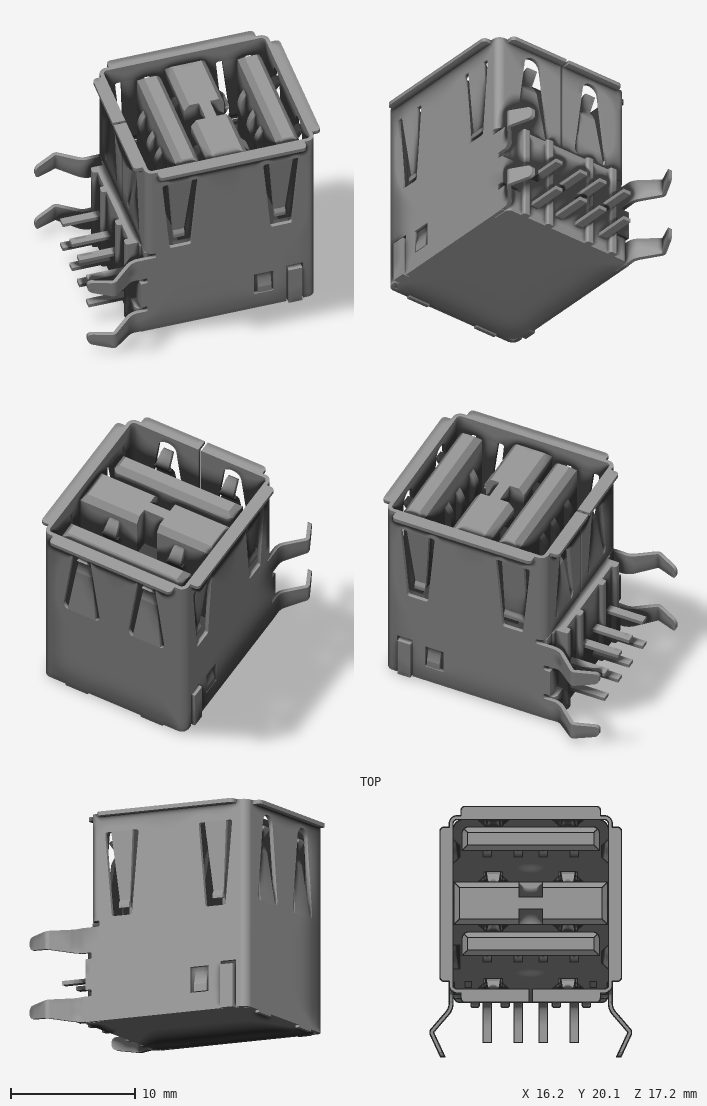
import cadquery as cq
import math


SHEET = 0.32
SHELL_X = 6.57
SHELL_Y = 7.13
SHELL_TOP = 17.0
SHELL_CORNER = 0.65
FRONT_WALL_BOTTOM = 8.22
SEAM_WIDTH = 0.26

FLANGE_CORNER = 0.35
FRONT_FLANGE_REACH = 7.87
FRONT_FLANGE_HALF = 5.62
SIDE_FLANGE_REACH = 7.31
SIDE_FLANGE_HALF = 6.2

FINGER_X = 3.0
FINGER_BOTTOM = 9.02
FINGER_BASE_HALF = 1.27
FINGER_SHOULDER, FINGER_SHOULDER_Z = 0.45, 13.37
FINGER_SHOULDER_HALF = 0.75
FINGER_STEP_Z = 14.02
FINGER_STEP_HALF = 0.62
FINGER_PEAK, FINGER_PEAK_Z = 0.89, 14.15
FINGER_TIP, FINGER_TIP_Z = 0.05, 15.19
FINGER_END_Z = 15.43
FINGER_TIP_HALF = 0.45
FINGER_TIP_CORNER = 0.38
FINGER_BEND_RADII = (0.1, 0.2)
PORT_WINDOW_TOP = 16.23
PORT_WINDOW_BASE_HALF, PORT_WINDOW_BASE_CORNER = 1.73, 0.48
PORT_WINDOW_TOP_HALF, PORT_WINDOW_TOP_CORNER = 0.75, 0.8

SIDE_FINGER_Y = 4.25
SIDE_FINGER_TOP = 15.39
SIDE_FINGER_HALF = 0.97
SIDE_FINGER_NARROW_HALF = 0.46
SIDE_FINGER_PEAK = 0.55
SIDE_FINGER_PEAK_Z = 9.83
SIDE_FINGER_CURL, SIDE_FINGER_CURL_Z = 0.35, 9.49
SIDE_FINGER_BOTTOM = 9.16
SIDE_FINGER_BEND_RADII = (0.05, 0.05)
SIDE_WINDOW_BOTTOM = 8.45
SIDE_WINDOW_BASE_HALF, SIDE_WINDOW_TOP_HALF, SIDE_WINDOW_CORNER = 0.9, 1.53, 0.2

LEG_CENTERS = (1.07, 6.7)
LEG_HALF = 1.03
LEG_BEND_Y = -8.35
LEG_KNEE_X = 8.2
LEG_KNEE_Y = -10.25
LEG_TIP_X = 7.1
LEG_TIP_Y = -12.27
LEG_TIP_HALF = 0.5
LEG_TIP_CORNER = 0.4
LEG_BEND_RADII = (1.09, 0.12)
PLATE_FRONT = -7.87
FLAP_BOTTOM, FLAP_TOP = 2.64, 5.15
FLAP_FRONT = -7.57
FLAP_INNER_X = 4.87
RELIEF_Y = -6.99
TOP_RELIEF_Y = -6.28
RELIEF_CORNER = 0.16

FLOOR = 8.14
CAVITY_X = SHELL_X - SHEET
CAVITY_Y = SHELL_Y - SHEET
HOUSING_BACK_CORNER = 0.8
HOUSING_FRONT = -7.9
CENTER_HALF = 4.81
LEDGE_HALF = 5.28
PILLAR_X = 6.16
PILLAR_TOP = 2.15
PILLAR_CORNER = 0.45
RIB_FRONT = -8.3
RIB_WIDTH = 0.68
RIB_CENTERS = (2.05, 4.47)
RIB_INNER_CORNER = 0.2
RIB_OUTER_CORNER = 0.16

TONGUE_X = 5.52
TONGUE_THICK = 1.9
TONGUE_CENTERS = (-3.18, 5.28)
TONGUE_TOP = 16.41
TOP_CHAMFER_HEIGHT = 0.55
TOP_CHAMFER_WIDTH = 0.45
TONGUE_CORNER = 0.52
DIVIDER_X = 6.16
DIVIDER_FRONT, DIVIDER_BACK = -1.61, 1.77
NOTCH_WIDTH = 1.85
NOTCH_DEPTH = 4.03
NOTCH_WEB_FRONT, NOTCH_WEB_BACK = -0.36, 0.56

KEY_REACH = 6.83
KEY_BACK, KEY_FRONT, KEY_TOP = 5.95, 4.8, 3.55
KEY_SLOT_BACK, KEY_SLOT_FRONT, KEY_SLOT_TOP = 6.1, 4.7, 3.87
LATCH_BACK, LATCH_FRONT = 3.42, 2.3
LATCH_BOTTOM, LATCH_RAMP, LATCH_TOP = 1.6, 2.18, 3.3
LATCH_SLOT_BACK, LATCH_SLOT_FRONT = 3.6, 1.95
LATCH_SLOT_BOTTOM, LATCH_SLOT_TOP = 1.51, 3.63

FOOT_X, FOOT_WIDTH, FOOT_HEIGHT = 3.46, 2.05, 0.18
HOLE_X, HOLE_Y, HOLE_SIZE, HOLE_DEPTH = 5.04, -6.45, 0.5, 0.6

PIN_XS = (-3.5, -1.0, 1.0, 3.5)
PIN_WIDTH = 0.7
PIN_THICK = 0.32
PIN_ROWS = (1.4, 4.03)
PIN_END = -11.14
CONTACT_REACH = 0.48
CONTACT_BOTTOM, CONTACT_MIDDLE, CONTACT_TOP = 11.08, 13.1, 14.1


def block(x0, x1, y0, y1, z0, z1):
    """Box between two opposite corners."""
    return cq.Workplane("XY").box(x1 - x0, y1 - y0, z1 - z0, centered=False).translate((x0, y0, z0))


def both_sides(solid):
    """The solid joined with its mirror image across X = 0."""
    return solid.union(solid.mirror("YZ"))


def bent_sheet(plane, path, inside_radii, thickness, half_width):
    """Bent strip lying to the right of an open path in the plane (left if thickness is negative).

    Every inner point of the path is a bend with its own inside radius.
    """
    right_normals = []
    for (x0, y0), (x1, y1) in zip(path, path[1:]):
        length = math.hypot(x1 - x0, y1 - y0)
        right_normals.append(((y1 - y0) / length, (x0 - x1) / length))
    before = [right_normals[0]] + right_normals
    after = right_normals + [right_normals[-1]]
    far_side = []
    for (x, y), (ax, ay), (bx, by) in zip(path, before, after):
        miter = thickness / (1 + ax * bx + ay * by)
        far_side.append((x + (ax + bx) * miter, y + (ay + by) * miter))
    sheet = cq.Workplane(plane).polyline(path + far_side[::-1]).close().extrude(half_width, both=True)

    for bend, radius in enumerate(inside_radii, start=1):
        (ax, ay), (bx, by) = before[bend], after[bend]
        turns_toward_far_side = (ax * by - ay * bx) * thickness < 0
        near_radius = radius + (abs(thickness) if turns_toward_far_side else 0)
        far_radius = radius + (0 if turns_toward_far_side else abs(thickness))
        for point, fillet in ((path[bend], near_radius), (far_side[bend], far_radius)):
            corner = cq.Plane.named(plane).toWorldCoords(point).toTuple()
            sheet = sheet.edges(cq.selectors.NearestToPointSelector(corner)).fillet(fillet)
    return sheet


def mirrored_outline(half_widths):
    """Closed outline symmetric about the vertical axis from (half width, height) pairs."""
    return half_widths + [(-half, height) for half, height in reversed(half_widths)]


def flange(half, start, reach):
    """Lip at the mouth, pointing toward +Y."""
    lip = block(-half, half, start, reach, SHELL_TOP - SHEET, SHELL_TOP)
    return lip.edges("|Z and >Y").fillet(FLANGE_CORNER)


def port_finger():
    """Tapered spring finger rising from the front wall; its outer face starts at Y = 0."""
    side = [(0, FINGER_BOTTOM), (FINGER_SHOULDER, FINGER_SHOULDER_Z),
            (FINGER_PEAK, FINGER_PEAK_Z), (FINGER_TIP, FINGER_TIP_Z)]
    bent = bent_sheet("YZ", side, FINGER_BEND_RADII, SHEET, FINGER_BASE_HALF)
    face = mirrored_outline([(FINGER_BASE_HALF, FINGER_BOTTOM),
                             (FINGER_SHOULDER_HALF, FINGER_SHOULDER_Z),
                             (FINGER_SHOULDER_HALF, FINGER_STEP_Z),
                             (FINGER_STEP_HALF, FINGER_STEP_Z),
                             (FINGER_TIP_HALF, FINGER_END_Z)])
    taper = cq.Workplane("XZ").polyline(face).close().extrude(-2 * FINGER_PEAK)
    taper = taper.edges("|Y and >Z").fillet(FINGER_TIP_CORNER)
    return bent.intersect(taper)


def port_fingers(finger, y, angle):
    """Two fingers on a face at the given Y; an angle of 180 turns them toward -Y."""
    turned = finger.rotate((0, 0, 0), (0, 0, 1), angle)
    return turned.translate((-FINGER_X, y, 0)).union(turned.translate((FINGER_X, y, 0)))


def port_window():
    """Cutter for the windows of one front finger and the back finger facing it."""
    face = mirrored_outline([(PORT_WINDOW_BASE_HALF, FINGER_BOTTOM),
                             (PORT_WINDOW_TOP_HALF, PORT_WINDOW_TOP)])
    cutter = cq.Workplane("XZ").polyline(face).close().extrude(SHELL_Y, both=True)
    cutter = cutter.edges("|Y and <Z").fillet(PORT_WINDOW_BASE_CORNER)
    return cutter.edges("|Y and >Z").fillet(PORT_WINDOW_TOP_CORNER)


def side_finger(tip_half):
    """Spring finger hanging from the top of a left-wall window; its outer face starts at X = 0."""
    side = [(0, SIDE_FINGER_TOP), (SIDE_FINGER_PEAK, SIDE_FINGER_PEAK_Z),
            (SIDE_FINGER_CURL, SIDE_FINGER_CURL_Z), (SIDE_FINGER_CURL, SIDE_FINGER_BOTTOM)]
    bent = bent_sheet("XZ", side, SIDE_FINGER_BEND_RADII, -SHEET, SIDE_FINGER_HALF)
    face = mirrored_outline([(SIDE_FINGER_HALF, SIDE_FINGER_TOP), (tip_half, SIDE_FINGER_PEAK_Z),
                             (tip_half, SIDE_FINGER_BOTTOM)])
    return bent.intersect(cq.Workplane("YZ").polyline(face).close().extrude(2 * SIDE_FINGER_PEAK))


def side_window():
    """Cutter for a window in both side walls."""
    face = mirrored_outline([(SIDE_WINDOW_BASE_HALF, SIDE_WINDOW_BOTTOM),
                             (SIDE_WINDOW_TOP_HALF, SIDE_FINGER_TOP)])
    cutter = cq.Workplane("YZ").polyline(face).close().extrude(SHELL_X, both=True)
    return cutter.edges("|X").fillet(SIDE_WINDOW_CORNER)


def leg(center_z):
    """Bent and tapered board leg continuing the left side wall; its overlong tip is trimmed by the taper."""
    path = [(-SHELL_X, FLAP_FRONT), (-SHELL_X, LEG_BEND_Y), (-LEG_KNEE_X, LEG_KNEE_Y),
            (-LEG_TIP_X, LEG_TIP_Y - SHEET)]
    bent = bent_sheet("XY", path, LEG_BEND_RADII, -SHEET, LEG_HALF)
    face = [(FLAP_FRONT, LEG_HALF), (PLATE_FRONT, LEG_HALF), (LEG_TIP_Y, LEG_TIP_HALF)]
    face = face + [(y, -half) for y, half in reversed(face)]
    taper = cq.Workplane("YZ").polyline(face).close().extrude(-2 * SHELL_X)
    taper = taper.edges("|X and <Y").fillet(LEG_TIP_CORNER)
    return bent.intersect(taper).translate((0, 0, center_z))


def shell_can():
    """Bent tube of the shell with its flanges, front seam and finger windows."""
    can = block(-SHELL_X, SHELL_X, -SHELL_Y, SHELL_Y, 0, SHELL_TOP).edges("|Z").fillet(SHELL_CORNER)
    for angle, half, start, reach in (
            (0, FRONT_FLANGE_HALF, CAVITY_Y, FRONT_FLANGE_REACH),
            (90, SIDE_FLANGE_HALF, CAVITY_X, SIDE_FLANGE_REACH),
            (180, FRONT_FLANGE_HALF, CAVITY_Y, FRONT_FLANGE_REACH),
            (270, SIDE_FLANGE_HALF, CAVITY_X, SIDE_FLANGE_REACH)):
        can = can.union(flange(half, start, reach).rotate((0, 0, 0), (0, 0, 1), angle))
    cavity = block(-CAVITY_X, CAVITY_X, -CAVITY_Y, CAVITY_Y, 0, SHELL_TOP)
    can = can.cut(cavity.edges("|Z").fillet(SHELL_CORNER - SHEET))
    can = can.cut(block(-SHELL_X, SHELL_X, -SHELL_Y, TOP_RELIEF_Y, 0, FRONT_WALL_BOTTOM))
    can = can.cut(block(-SEAM_WIDTH / 2, SEAM_WIDTH / 2, -FRONT_FLANGE_REACH, -CAVITY_Y, 0, SHELL_TOP))
    for x in (-FINGER_X, FINGER_X):
        can = can.cut(port_window().translate((x, 0, 0)))
    for y in (-SIDE_FINGER_Y, SIDE_FINGER_Y):
        can = can.cut(side_window().translate((0, y, 0)))
    for slot in (
            (KEY_SLOT_FRONT, KEY_SLOT_BACK, 0, KEY_SLOT_TOP),
            (LATCH_SLOT_FRONT, LATCH_SLOT_BACK, LATCH_SLOT_BOTTOM, LATCH_SLOT_TOP)):
        can = can.cut(block(-SHELL_X, SHELL_X, *slot))
    return can


def left_front_plate():
    """Forward part of the left side wall: two legs and the clamp flap between them."""
    low_leg_top, high_leg_bottom = LEG_CENTERS[0] + LEG_HALF, LEG_CENTERS[1] - LEG_HALF
    high_leg_top = LEG_CENTERS[1] + LEG_HALF
    plate = block(-SHELL_X, -CAVITY_X, FLAP_FRONT, TOP_RELIEF_Y, 0, FRONT_WALL_BOTTOM)
    for end_y, bottom, top in (
            (RELIEF_Y, low_leg_top, FLAP_BOTTOM),
            (RELIEF_Y, FLAP_TOP, high_leg_bottom),
            (TOP_RELIEF_Y, high_leg_top, FRONT_WALL_BOTTOM)):
        relief = block(-SHELL_X, -CAVITY_X, FLAP_FRONT, end_y, bottom, top)
        plate = plate.cut(relief.edges("|X and >Y").fillet(RELIEF_CORNER))
    flap = block(-SHELL_X, -FLAP_INNER_X, FLAP_FRONT, FLAP_FRONT + SHEET, FLAP_BOTTOM, FLAP_TOP)
    plate = plate.union(flap)
    for center_z in LEG_CENTERS:
        plate = plate.union(leg(center_z))
    return plate


def shell():
    """Complete shell with legs, flaps, feet and spring fingers."""
    body = shell_can().union(both_sides(left_front_plate()))
    foot = block(-FOOT_WIDTH / 2, FOOT_WIDTH / 2, CAVITY_Y, SHELL_Y, -FOOT_HEIGHT, 0)
    body = body.union(both_sides(foot.translate((FOOT_X, 0, 0))))

    finger = port_finger()
    body = body.union(port_fingers(finger, -SHELL_Y, 0))
    body = body.union(port_fingers(finger, SHELL_Y, 180))

    tapered = side_finger(SIDE_FINGER_NARROW_HALF).translate((-SHELL_X, 0, 0))
    straight = side_finger(SIDE_FINGER_HALF).translate((-SHELL_X, 0, 0))
    body = body.union(both_sides(tapered.translate((0, SIDE_FINGER_Y, 0))))
    body = body.union(tapered.mirror("YZ").translate((0, -SIDE_FINGER_Y, 0)))
    return body.union(straight.translate((0, -SIDE_FINGER_Y, 0)))


def housing_base():
    """Solid lower block of the housing with its stepped, ribbed front."""
    base = block(-CAVITY_X, CAVITY_X, TOP_RELIEF_Y, CAVITY_Y, 0, FLOOR)
    base = base.edges("|Z and >Y").fillet(HOUSING_BACK_CORNER)
    base = base.union(block(-PILLAR_X, PILLAR_X, -SHELL_Y, 0, 0, FLOOR))
    base = base.union(block(-LEDGE_HALF, LEDGE_HALF, FLAP_FRONT + SHEET, 0, 0, FLOOR))
    base = base.union(block(-CENTER_HALF, CENTER_HALF, HOUSING_FRONT, 0, 0, FLOOR))
    pillars = block(-PILLAR_X, PILLAR_X, HOUSING_FRONT, 0, 0, PILLAR_TOP)
    base = base.union(pillars.edges("|Z and <Y").fillet(PILLAR_CORNER))
    for x in RIB_CENTERS:
        rib = block(x - RIB_WIDTH / 2, x + RIB_WIDTH / 2, RIB_FRONT, 0, 0, FLOOR)
        rib = rib.edges("|Z and <Y and <X").fillet(RIB_INNER_CORNER)
        rib = rib.edges("|Z and <Y").edges(">X").fillet(RIB_OUTER_CORNER)
        base = base.union(both_sides(rib))
    hole = cq.Workplane("XY").box(HOLE_SIZE, HOLE_SIZE, 2 * HOLE_DEPTH).translate((HOLE_X, HOLE_Y, FLOOR))
    return base.cut(both_sides(hole))


def chamfered_wall(x0, x1, y0, y1):
    """Block rising to the tongue height with sloped edges all around its top."""
    slope = math.degrees(math.atan2(TOP_CHAMFER_WIDTH, TOP_CHAMFER_HEIGHT))
    shoulder_z = TONGUE_TOP - TOP_CHAMFER_HEIGHT
    cap = cq.Workplane("XY").rect(x1 - x0, y1 - y0).extrude(TOP_CHAMFER_HEIGHT, taper=slope)
    cap = cap.translate(((x0 + x1) / 2, (y0 + y1) / 2, shoulder_z))
    return block(x0, x1, y0, y1, 0, shoulder_z).union(cap)


def tongue(center_y):
    """Contact carrier of one port, chamfered around its top."""
    front, back = center_y - TONGUE_THICK / 2, center_y + TONGUE_THICK / 2
    carrier = chamfered_wall(-TONGUE_X, TONGUE_X, front, back)
    outline = block(-TONGUE_X, TONGUE_X, front, back, 0, TONGUE_TOP)
    return carrier.intersect(outline.edges("|Z and >Y").fillet(TONGUE_CORNER))


def divider():
    """Wall between the ports, with a notch in each face and spring fingers on both."""
    wall = chamfered_wall(-DIVIDER_X, DIVIDER_X, DIVIDER_FRONT, DIVIDER_BACK)
    half = NOTCH_WIDTH / 2
    notch_floor = TONGUE_TOP - NOTCH_DEPTH
    wall = wall.cut(block(-half, half, DIVIDER_FRONT, NOTCH_WEB_FRONT, notch_floor, TONGUE_TOP))
    wall = wall.cut(block(-half, half, NOTCH_WEB_BACK, DIVIDER_BACK, notch_floor, TONGUE_TOP))
    finger = port_finger()
    wall = wall.union(port_fingers(finger, DIVIDER_BACK - SHEET, 0))
    return wall.union(port_fingers(finger, DIVIDER_FRONT + SHEET, 180))


def side_locks():
    """Keys and snap ramps that stand in the slots of the side walls."""
    key = block(CAVITY_X, KEY_REACH, KEY_FRONT, KEY_BACK, 0, KEY_TOP)
    ramp = [(CAVITY_X, LATCH_BOTTOM), (SHELL_X, LATCH_BOTTOM), (SHELL_X, LATCH_RAMP), (CAVITY_X, LATCH_TOP)]
    latch = cq.Workplane("XZ", origin=(0, LATCH_BACK, 0)).polyline(ramp).close()
    latch = latch.extrude(LATCH_BACK - LATCH_FRONT)
    return both_sides(key.union(latch))


def contacts():
    """Board pins in two rows and the bowed contact on the front face of each tongue."""
    metal = cq.Workplane("XY")
    for x in PIN_XS:
        left, right = x - PIN_WIDTH / 2, x + PIN_WIDTH / 2
        for z in PIN_ROWS:
            metal = metal.union(block(left, right, PIN_END, 0, z - PIN_THICK / 2, z + PIN_THICK / 2))
        for center_y in TONGUE_CENTERS:
            face = center_y - TONGUE_THICK / 2
            bow = cq.Workplane("YZ", origin=(left, 0, 0)).moveTo(face, CONTACT_BOTTOM)
            bow = bow.threePointArc((face - CONTACT_REACH, CONTACT_MIDDLE), (face, CONTACT_TOP)).close()
            metal = metal.union(bow.extrude(PIN_WIDTH))
    return metal


result = housing_base().union(divider()).union(side_locks()).union(contacts())
for tongue_y in TONGUE_CENTERS:
    result = result.union(tongue(tongue_y))
result = result.union(shell())